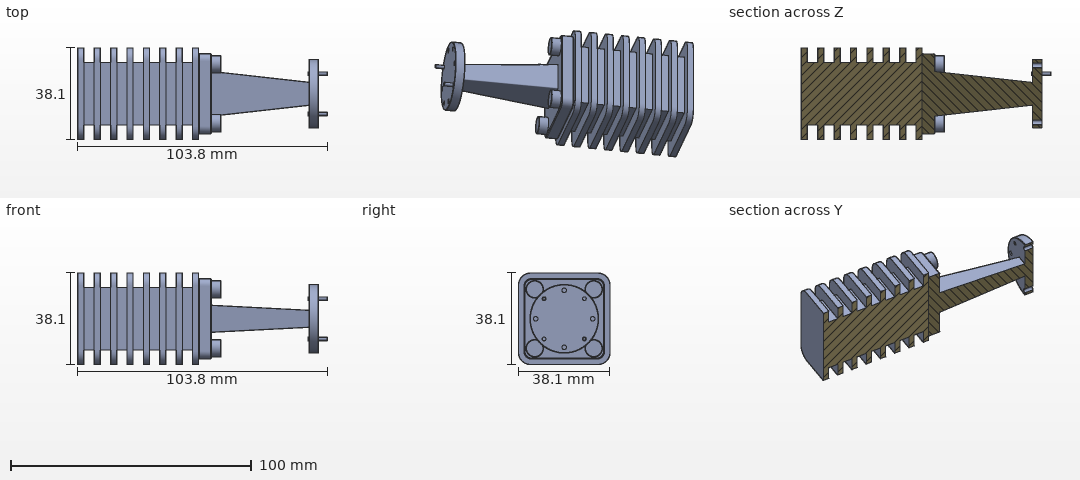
import cadquery as cq
import math

overall_length = 103.8

fin_count = 8
sink_length = 50.2
fin_thickness = 2.6
fin_size = 38.1
fin_corner_radius = 5.1
core_size = 26.0
fin_pitch = (sink_length - fin_thickness) / (fin_count - 1)

plate_thickness = 5.3
plate_size = 33.4
plate_corner_radius = 3.1
plate_chamfer = 0.4
plate_end = sink_length + plate_thickness

flange_diameter = 28.5
flange_thickness = 4.0
flange_chamfer = 0.2
flange_bolt_radius = 11.8
flange_bolt_hole_diameter = 1.9
flange_position_count = 8
pin_positions = (3, 7)

pin_diameter = 1.6
pin_end_chamfer = 0.2
pin_stand_out = 3.7
pin_back_stand_out = 0.3
flange_end = overall_length - pin_stand_out
flange_start = flange_end - flange_thickness
pin_length = overall_length - flange_start + pin_back_stand_out

horn_wide_y = 18.7
horn_wide_z = 11.3
horn_narrow_y = 9.7
horn_narrow_z = 7.2
horn_edge_radius = 0.3

screw_head_diameter = 7.3
screw_head_height = 4.0
screw_edge_chamfer = 0.2
screw_offset = 12.2


def plane_at(x):
    """Workplane facing +X at the given station: local x is Y and local y is Z."""
    return cq.Workplane("YZ", origin=(x, 0, 0))


def flange_point(index):
    """(Y, Z) of one of the equally spaced places on the flange bolt circle."""
    angle = 2 * math.pi * index / flange_position_count
    return (flange_bolt_radius * math.cos(angle), flange_bolt_radius * math.sin(angle))


def make_heat_sink():
    """Square core with evenly spaced, round-cornered fins."""
    sink = plane_at(0).rect(core_size, core_size).extrude(sink_length)
    for index in range(fin_count):
        fin = plane_at(index * fin_pitch).rect(fin_size, fin_size).extrude(fin_thickness)
        sink = sink.union(fin.edges("|X").fillet(fin_corner_radius))
    return sink


def make_plate():
    """Round-cornered mounting plate, chamfered around both faces."""
    plate = plane_at(sink_length).rect(plate_size, plate_size).extrude(plate_thickness)
    plate = plate.edges("|X").fillet(plate_corner_radius)
    return plate.faces("<X or >X").chamfer(plate_chamfer)


def make_taper():
    """Rectangular horn that narrows from the plate to the flange."""
    taper = (
        plane_at(plate_end)
        .rect(horn_wide_y, horn_wide_z)
        .workplane(offset=flange_start - plate_end)
        .rect(horn_narrow_y, horn_narrow_z)
        .loft(ruled=True)
    )
    long_edges = taper.edges("not(#X)")
    return long_edges.fillet(horn_edge_radius)


def make_flange():
    """Round flange with bolt holes on the Y and Z axes and dowel holes on the diagonals."""
    flange = plane_at(flange_start).circle(flange_diameter / 2).extrude(flange_thickness)
    flange = flange.faces("<X or >X").chamfer(flange_chamfer)
    for index in range(flange_position_count):
        on_diagonal = index % 2 == 1
        diameter = pin_diameter if on_diagonal else flange_bolt_hole_diameter
        y, z = flange_point(index)
        hole = plane_at(flange_start).center(y, z).circle(diameter / 2).extrude(flange_thickness)
        flange = flange.cut(hole)
    return flange


def make_horn():
    """Mounting plate, tapered horn and waveguide flange in one piece."""
    return make_plate().union(make_taper()).union(make_flange())


def make_screw_head(y, z):
    """Cylindrical screw head seated on the mounting plate."""
    head = plane_at(plate_end).center(y, z).circle(screw_head_diameter / 2).extrude(screw_head_height)
    return head.faces(">X").chamfer(screw_edge_chamfer)


def make_pin(y, z):
    """Dowel pin that passes through the flange."""
    start = flange_start - pin_back_stand_out
    pin = plane_at(start).center(y, z).circle(pin_diameter / 2).extrude(pin_length)
    return pin.faces(">X").chamfer(pin_end_chamfer)


heat_sink = make_heat_sink()
horn = make_horn()

screw_heads = []
for side_y in (-1, 1):
    for side_z in (-1, 1):
        screw_heads.append(make_screw_head(side_y * screw_offset, side_z * screw_offset).val())

pins = []
for position in pin_positions:
    pins.append(make_pin(*flange_point(position)).val())

result = cq.Compound.makeCompound([heat_sink.val(), horn.val(), *screw_heads, *pins])